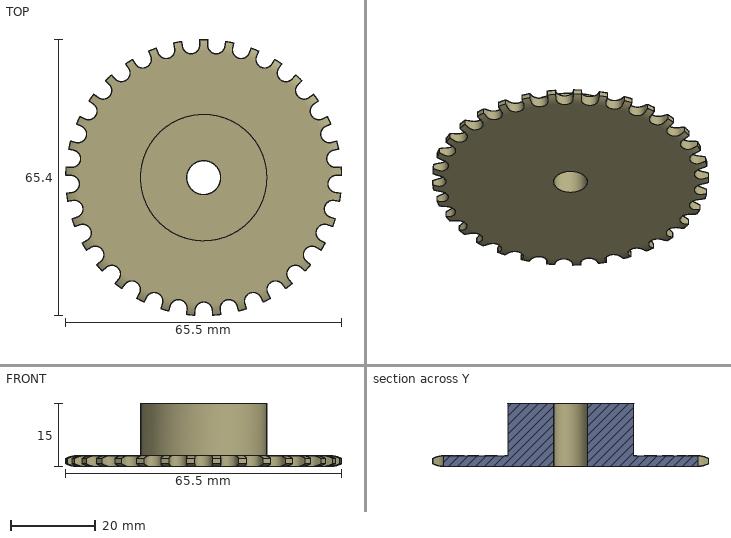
import cadquery as cq
import math

tooth_count = 33
tip_radius = 32.75
pitch_radius = 31.55
roller_seat_radius = 2.0
gap_width_at_tip = 4.25
plate_thickness = 2.6
flat_face_radius = 29.9
tip_thickness = 1.25

hub_diameter = 30.0
bore_diameter = 8.0
total_height = 15.0

cutter_overrun = 0.65


def make_plate():
    """Disc whose rim narrows towards the tip along arcs tangent to the flat faces."""
    rim_length = tip_radius - flat_face_radius
    rim_drop = (plate_thickness - tip_thickness) / 2
    rim_arc_radius = (rim_length**2 + rim_drop**2) / (2 * rim_drop)
    half_angle = math.atan2(rim_drop, rim_length)
    arc_mid_radius = flat_face_radius + rim_arc_radius * math.sin(half_angle)
    arc_mid_drop = rim_arc_radius * (1 - math.cos(half_angle))
    return (
        cq.Workplane("XZ")
        .lineTo(flat_face_radius, 0)
        .threePointArc((arc_mid_radius, arc_mid_drop), (tip_radius, rim_drop))
        .lineTo(tip_radius, plate_thickness - rim_drop)
        .threePointArc(
            (arc_mid_radius, plate_thickness - arc_mid_drop),
            (flat_face_radius, plate_thickness),
        )
        .lineTo(0, plate_thickness)
        .close()
        .revolve(360, (0, 0), (0, 1))
    )


def make_gap_cutter():
    """One tooth gap along -Y: a half-round roller seat opening out to the tips."""
    half_mouth = gap_width_at_tip / 2
    flare = (half_mouth - roller_seat_radius) / (tip_radius - pitch_radius)
    outer_half_width = half_mouth + flare * cutter_overrun
    outer_y = -(tip_radius + cutter_overrun)
    return (
        cq.Workplane("XY")
        .moveTo(-outer_half_width, outer_y)
        .lineTo(-roller_seat_radius, -pitch_radius)
        .threePointArc(
            (0, roller_seat_radius - pitch_radius),
            (roller_seat_radius, -pitch_radius),
        )
        .lineTo(outer_half_width, outer_y)
        .close()
        .extrude(plate_thickness)
    )


def make_all_gaps():
    gap = make_gap_cutter().val()
    gaps = cq.Workplane("XY")
    for index in range(tooth_count):
        gaps = gaps.add(gap.rotate((0, 0, 0), (0, 0, 1), index * 360 / tooth_count))
    return gaps.combine()


hub = cq.Workplane("XY").circle(hub_diameter / 2).extrude(total_height)
bore = cq.Workplane("XY").circle(bore_diameter / 2).extrude(total_height)

result = make_plate().cut(make_all_gaps()).union(hub).cut(bore)